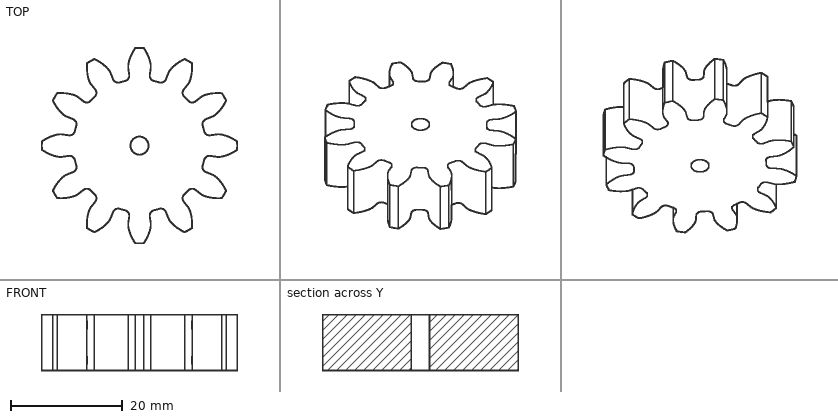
import cadquery as cq
import math

tooth_count = 12
module = 2.5
pressure_angle = math.radians(20)
face_width = 10.0
bore_diameter = 3.2
addendum_factor = 1.0
dedendum_factor = 1.25
root_fillet_factor = 0.38
flank_steps = 8

pitch_radius = module * tooth_count / 2
base_radius = pitch_radius * math.cos(pressure_angle)
tip_radius = pitch_radius + addendum_factor * module
root_radius = pitch_radius - dedendum_factor * module
root_fillet = root_fillet_factor * module

tooth_pitch = 2 * math.pi / tooth_count

tip_roll = math.sqrt((tip_radius / base_radius)**2 - 1)

base_half_angle = tooth_pitch / 4 + math.tan(pressure_angle) - pressure_angle

fillet_centre_radius = root_radius + root_fillet
fillet_half_angle = math.asin(root_fillet / fillet_centre_radius)
fillet_top_radius = math.sqrt(fillet_centre_radius**2 - root_fillet**2)
fillet_centre_angle = base_half_angle + fillet_half_angle


def polar(radius, angle):
    return (radius * math.cos(angle), radius * math.sin(angle))


def involute_point(axis_angle, side, roll):
    """Point on one flank (-1 or 1) of a tooth at an involute roll angle."""
    radius = base_radius * math.hypot(1, roll)
    half_angle = base_half_angle - (roll - math.atan(roll))
    return polar(radius, axis_angle + side * half_angle)


def fillet_middle(axis_angle, side):
    """Point halfway round the root fillet on one side (-1 or 1) of a tooth."""
    centre_x, centre_y = polar(fillet_centre_radius, axis_angle + side * fillet_centre_angle)
    toward_root = axis_angle + side * fillet_centre_angle + math.pi
    toward_flank = axis_angle + side * (base_half_angle - math.pi / 2)
    turn = math.remainder(toward_flank - toward_root, 2 * math.pi)
    offset_x, offset_y = polar(root_fillet, toward_root + turn / 2)
    return (centre_x + offset_x, centre_y + offset_y)


def flank(axis_angle, side):
    """Points on an involute flank, from the base circle to the tip."""
    rolls = [tip_roll * i / flank_steps for i in range(flank_steps + 1)]
    return [involute_point(axis_angle, side, roll) for roll in rolls]


def add_tooth(outline, axis_angle):
    """Continue the outline over one tooth and along the root circle to the next."""
    rising = flank(axis_angle, -1)
    falling = flank(axis_angle, 1)[::-1]
    split = flank_steps // 2
    next_root_angle = axis_angle + tooth_pitch - fillet_centre_angle
    return (
        outline
        .threePointArc(fillet_middle(axis_angle, -1), polar(fillet_top_radius, axis_angle - base_half_angle))
        .lineTo(*rising[0])
        .spline(rising[1:split + 1], includeCurrent=True)
        .spline(rising[split + 1:], includeCurrent=True)
        .threePointArc(polar(tip_radius, axis_angle), falling[0])
        .spline(falling[1:split + 1], includeCurrent=True)
        .spline(falling[split + 1:], includeCurrent=True)
        .lineTo(*polar(fillet_top_radius, axis_angle + base_half_angle))
        .threePointArc(fillet_middle(axis_angle, 1), polar(root_radius, axis_angle + fillet_centre_angle))
        .threePointArc(
            polar(root_radius, axis_angle + tooth_pitch / 2),
            polar(root_radius, next_root_angle),
        )
    )


def make_gear():
    outline = cq.Workplane("XY").moveTo(*polar(root_radius, -fillet_centre_angle))
    for tooth in range(tooth_count):
        outline = add_tooth(outline, tooth * tooth_pitch)
    return outline.close().extrude(face_width)


def cut_bore(gear):
    return gear.faces(">Z").workplane(origin=(0, 0)).hole(bore_diameter)


result = cut_bore(make_gear())